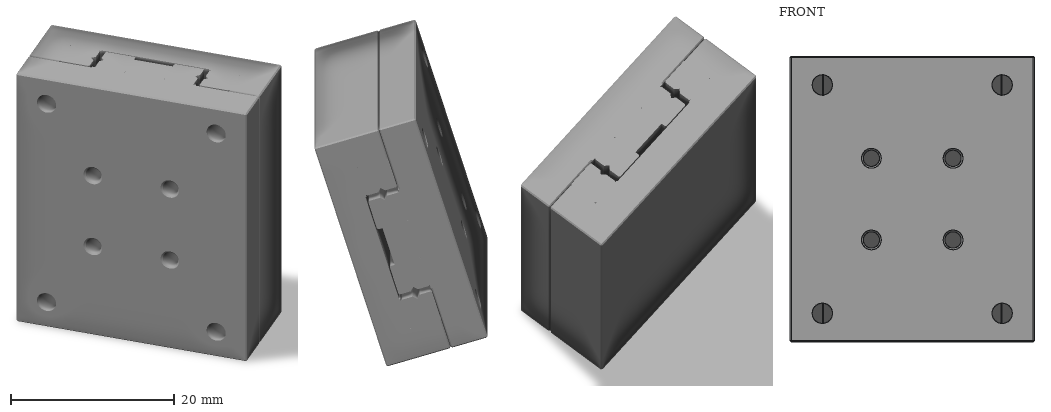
import cadquery as cq


WIDTH = 30.0
DEPTH = 13.0
LENGTH = 35.0
FRONT_Y = -DEPTH / 2
BACK_Y = DEPTH / 2
EDGE_CHAMFER = 0.165
CHAMFER_ANGLE = 45.0

RAIL_WIDTH = 3.9
RAIL_HEIGHT = 4.0
INNER_RAIL_X = 2.52
RAIL_PAIR_WIDTH = 8.5
OUTER_RAIL_X = INNER_RAIL_X + RAIL_PAIR_WIDTH
GAP_CENTER_X = INNER_RAIL_X + RAIL_PAIR_WIDTH / 2
GROOVE_DEPTH = 0.45
RAIL_CHAMFER = 0.15

LAND_THICKNESS = 4.75
LAND_Y = FRONT_Y + LAND_THICKNESS
RUNNING_CLEARANCE = 0.07
RIB_HEIGHT = 3.32

SADDLE_CEILING_Y = LAND_Y + RAIL_HEIGHT
CEILING_RELIEF = 0.15
RELIEF_HALF_WIDTH = OUTER_RAIL_X - RAIL_WIDTH - RAIL_CHAMFER

MOUNT_HOLE_DIAMETER = 2.0
MOUNT_HOLE_CHAMFER = 0.2
MOUNT_HOLE_SPACING = 10.0
ACCESS_HOLE_DIAMETER = 2.5
ACCESS_HOLE_SPACING_X = 2 * OUTER_RAIL_X
ACCESS_HOLE_SPACING_Z = 28.0


def block(x_min, x_max, y_min, y_max):
    """Full-length rectangular block between the given X and Y limits."""
    return (
        cq.Workplane("XY")
        .box(x_max - x_min, y_max - y_min, LENGTH, centered=False)
        .translate((x_min, y_min, -LENGTH / 2))
    )


def chamfered_slab(y_min, y_max):
    """Full-width slab with every outer edge chamfered."""
    return block(-WIDTH / 2, WIDTH / 2, y_min, y_max).edges().chamfer(EDGE_CHAMFER)


def hole_pattern(spacing_x, spacing_z):
    """2 x 2 pattern of hole centres on the front face."""
    return cq.Workplane("XZ", origin=(0, FRONT_Y, 0)).rarray(spacing_x, spacing_z, 2, 2)


def drill_front(plate, diameter, spacing_x, spacing_z):
    """Drill four holes from the front face through to the rails."""
    drills = hole_pattern(spacing_x, spacing_z).circle(diameter / 2).extrude(-LAND_THICKNESS)
    return plate.cut(drills)


def chamfer_mount_holes(plate):
    """Chamfer the mouths of the mounting holes."""
    mouth_radius = MOUNT_HOLE_DIAMETER / 2 + MOUNT_HOLE_CHAMFER
    cones = (
        hole_pattern(MOUNT_HOLE_SPACING, MOUNT_HOLE_SPACING)
        .circle(mouth_radius)
        .extrude(-MOUNT_HOLE_CHAMFER, taper=CHAMFER_ANGLE)
    )
    return plate.cut(cones)


def make_base_plate():
    plate = chamfered_slab(FRONT_Y, LAND_Y - RUNNING_CLEARANCE)
    land = block(-GAP_CENTER_X, GAP_CENTER_X, FRONT_Y + EDGE_CHAMFER, LAND_Y)
    rib = block(-INNER_RAIL_X, INNER_RAIL_X, LAND_Y, LAND_Y + RIB_HEIGHT)
    plate = plate.union(land).union(rib)

    plate = drill_front(plate, MOUNT_HOLE_DIAMETER, MOUNT_HOLE_SPACING, MOUNT_HOLE_SPACING)
    plate = chamfer_mount_holes(plate)
    return drill_front(plate, ACCESS_HOLE_DIAMETER, ACCESS_HOLE_SPACING_X, ACCESS_HOLE_SPACING_Z)


def make_saddle():
    channel = block(-OUTER_RAIL_X, OUTER_RAIL_X, LAND_Y, SADDLE_CEILING_Y)
    relief = block(
        -RELIEF_HALF_WIDTH, RELIEF_HALF_WIDTH, SADDLE_CEILING_Y, SADDLE_CEILING_Y + CEILING_RELIEF
    )
    return chamfered_slab(LAND_Y, BACK_Y).cut(channel).cut(relief)


def make_rail(mount_x, groove_direction):
    """Rail whose plain side is at mount_x and whose V-groove side faces groove_direction along X."""
    groove_x = mount_x + groove_direction * RAIL_WIDTH
    groove_y = LAND_Y + RAIL_HEIGHT / 2
    bar = (
        block(min(mount_x, groove_x), max(mount_x, groove_x), LAND_Y, SADDLE_CEILING_Y)
        .edges("|Z")
        .chamfer(RAIL_CHAMFER)
    )
    groove = (
        cq.Workplane("XY", origin=(groove_x, groove_y, -LENGTH / 2))
        .moveTo(0, -GROOVE_DEPTH)
        .lineTo(-groove_direction * GROOVE_DEPTH, 0)
        .lineTo(0, GROOVE_DEPTH)
        .close()
        .extrude(LENGTH)
    )
    return bar.cut(groove)


base_plate = make_base_plate()
saddle = make_saddle()
rails = []
for side in (-1, 1):
    rails.append(make_rail(side * INNER_RAIL_X, side))
    rails.append(make_rail(side * OUTER_RAIL_X, -side))

result = cq.Compound.makeCompound([
    base_plate.val(),
    saddle.val(),
    *[rail.val() for rail in rails],
])